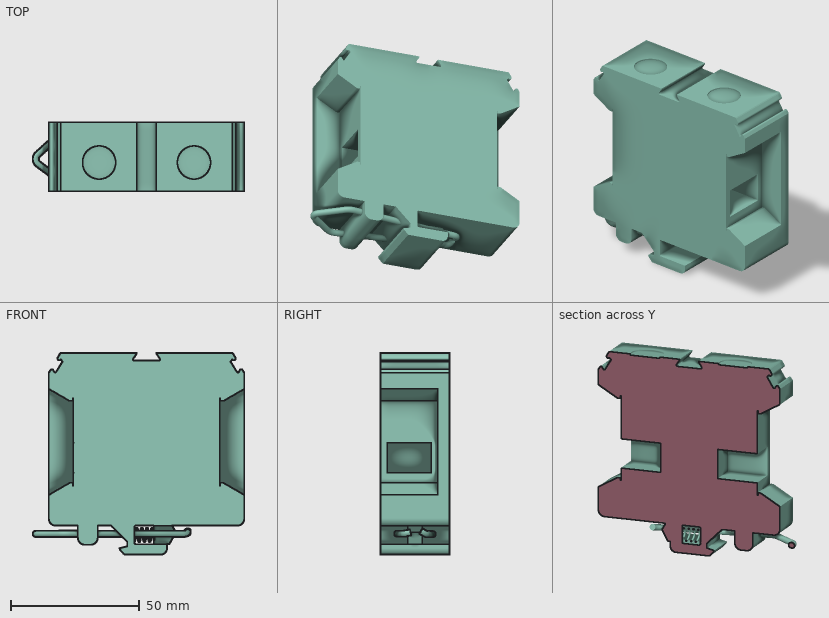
import cadquery as cq
import math


length = 76.3
thickness = 27.0
height = 67.35
half_length = length / 2
bottom_corner_radius = 2.7

seat_drop = 7.8
seat_inset = 4.7
cutter_margin = 4.1

dovetail_mouth = 7.8
dovetail_base = 10.4
dovetail_depth = 3.0
dovetail_lip = 0.6
dovetail_base_bevel = 0.25
dovetail_mouth_land = 0.4

terminal_y = -2.2
screw_diameter = 13.0
screw_spacing = 37.0
screw_recess_depth = 0.5
recess_bottom = 12.0
recess_top = 53.3
recess_depth = 9.6
recess_wall = 4.7
recess_slope = 30.0
crest_rise = 4.7
crest_radius = 1.2
slit_width = 0.25
slit_height = 1.1
pocket_width = 17.25
pocket_height = 11.6
pocket_bottom = 20.6
pocket_depth = 16.5

post_left = -26.8
post_width = 7.85
post_height = 7.5
post_radius = 2.9

foot_height = 11.3
foot_right = 8.0
foot_top = -7.2
foot_radius = 2.5
stem_left = -7.6
stem_right = -4.7
stem_slope = 6.2
stem_corner = 0.6
toe_left = -10.6
toe_ledge = -8.0
toe_tip = -8.75
toe_nose_width = 0.25
toe_nose_height = 0.75
toe_bevel_width = 1.7

latch_left = 2.8
latch_top_right = 10.0
latch_bottom_right = 8.9
latch_nose_x = 11.5
latch_nose_z = -2.6
latch_width = 5.8
latch_radius = 2.15
spring_wire = 0.7
spring_radius = 2.5
spring_pitch = 2.02
spring_z = -3.55
spring_embed = 0.2

wire_diameter = 2.5
wire_z = -3.2
wire_tilt = -0.7
shoulder_y = 10.5
hook_y = 4.1
apex_x = -44.6
apex_y = -1.1
shoulder_x = -31.95
apex_bend = 2.5
shoulder_bend = 4.95
hook_start = 13.5
hook_bend = 2.5
near_hook_rise = 15.0
far_hook_rise = 33.0
shortest_straight = 0.01


def extrude_y(sketch, width, middle_y=0.0):
    """Extrude an XZ sketch to the given width, centred on middle_y."""
    return sketch.extrude(width / 2, both=True).translate((0, middle_y, 0))


def clip_corner(side):
    """Cutter that shapes the upper corner of one end (side -1 or +1) into a snap-in marker seat.

    Its points are given as the inset from the end face and the drop from the top face.
    """
    def at(inset, drop):
        return (side * (half_length - inset), height - drop)

    return extrude_y(
        cq.Workplane("XZ")
        .moveTo(*at(0, seat_drop))
        .lineTo(*at(0.75, 6.6))
        .threePointArc(at(1.3, 6.35), at(1.8, 6.8))
        .lineTo(*at(2.2, 7.4))
        .threePointArc(at(2.6, 7.6), at(2.9, 7.35))
        .lineTo(*at(5.4, 3.4))
        .lineTo(*at(4.7, 2.65))
        .lineTo(*at(4.2, 3.0))
        .threePointArc(at(3.55, 2.65), at(3.5, 1.8))
        .lineTo(*at(4.4, 0.3))
        .lineTo(*at(seat_inset, 0))
        .lineTo(*at(seat_inset, -cutter_margin))
        .lineTo(*at(-cutter_margin, -cutter_margin))
        .lineTo(*at(-cutter_margin, seat_drop))
        .close(),
        thickness,
    )


def dovetail_groove():
    base_z = height - dovetail_depth
    half_mouth = dovetail_mouth / 2
    half_base = dovetail_base / 2
    right_side = [
        (half_base - dovetail_base_bevel, base_z),
        (half_base, base_z + dovetail_base_bevel),
        (half_base, base_z + dovetail_lip),
        (half_mouth, height - dovetail_mouth_land),
        (half_mouth, height),
    ]
    left_side = [(-x, z) for x, z in reversed(right_side)]
    return extrude_y(cq.Workplane("XZ").polyline(left_side + right_side).close(), thickness)


def terminal_recess():
    """Wire-entry recess of the -X end, open towards -Y, with its inner pocket."""
    face_x = -half_length
    floor_x = face_x + recess_depth
    crest_x = face_x + crest_rise / math.tan(math.radians(recess_slope))
    low_crest = recess_bottom + crest_rise
    high_crest = recess_top - crest_rise
    width = thickness - recess_wall
    middle_y = -recess_wall / 2
    mouth = extrude_y(
        cq.Workplane("XZ").polyline([
            (face_x, recess_bottom),
            (crest_x, low_crest),
            (floor_x, low_crest),
            (floor_x, high_crest),
            (crest_x, high_crest),
            (face_x, recess_top),
        ]).close(),
        width, middle_y,
    )
    crests = cq.selectors.BoxSelector(
        (crest_x - slit_width, -thickness, low_crest - slit_width),
        (crest_x + slit_width, thickness, high_crest + slit_width),
    )
    mouth = mouth.edges("|Y").edges(crests).fillet(crest_radius)
    slit = cq.Workplane("XY").box(
        slit_width, width, high_crest - low_crest + 2 * slit_height,
    ).translate((floor_x - slit_width / 2, middle_y, (low_crest + high_crest) / 2))
    pocket = cq.Workplane("XY").box(
        pocket_depth, pocket_width, pocket_height, centered=(False, True, False),
    ).translate((floor_x, terminal_y, pocket_bottom))
    return mouth.union(slit).union(pocket)


def housing():
    body = cq.Workplane("XY").box(length, thickness, height, centered=(True, True, False))
    body = body.edges("|Y and <Z").fillet(bottom_corner_radius)
    recess = terminal_recess()
    body = body.cut(dovetail_groove()).cut(recess).cut(recess.mirror("YZ"))
    for side in (-1, 1):
        body = body.cut(clip_corner(side))
        screw = cq.Workplane("XY").circle(screw_diameter / 2).extrude(screw_recess_depth)
        body = body.cut(screw.translate(
            (side * screw_spacing / 2, terminal_y, height - screw_recess_depth)))
    return body


def locating_post():
    post = cq.Workplane("XY").box(
        post_width, thickness, post_height, centered=(False, True, False),
    ).translate((post_left, 0, -post_height))
    return post.edges("|Y and <Z").fillet(post_radius)


def rail_foot():
    return extrude_y(
        cq.Workplane("XZ")
        .moveTo(stem_left - stem_slope, 0)
        .lineTo(stem_left, -stem_slope)
        .lineTo(stem_left, toe_ledge)
        .lineTo(toe_left, toe_tip)
        .lineTo(toe_left + toe_nose_width, toe_tip - toe_nose_height)
        .lineTo(toe_left + toe_nose_width + toe_bevel_width, -foot_height)
        .lineTo(foot_right - foot_radius, -foot_height)
        .radiusArc((foot_right, -foot_height + foot_radius), -foot_radius)
        .lineTo(foot_right, foot_top)
        .lineTo(stem_right + stem_corner, foot_top)
        .radiusArc((stem_right, foot_top + stem_corner), stem_corner)
        .lineTo(stem_right, -stem_corner)
        .radiusArc((stem_right + stem_corner, 0), stem_corner)
        .close(),
        thickness,
    )


def latch():
    block = extrude_y(
        cq.Workplane("XZ").polyline([
            (latch_left, 0),
            (latch_top_right, 0),
            (latch_nose_x, latch_nose_z),
            (latch_bottom_right, foot_top),
            (latch_left, foot_top),
        ]).close(),
        latch_width,
    )
    return block.edges("|Z").fillet(latch_radius)


def spring():
    """Coil along X from the stem to the latch, both ends sunk in slightly."""
    coil_length = latch_left - stem_right + 2 * spring_embed
    helix = cq.Wire.makeHelix(spring_pitch, coil_length, spring_radius)
    coil = (
        cq.Workplane("XZ", origin=(spring_radius, 0, 0))
        .circle(spring_wire / 2)
        .sweep(cq.Workplane(obj=helix), isFrenet=True)
    )
    coil = coil.rotate((0, 0, 0), (0, 1, 0), 90)
    return coil.translate((stem_right - spring_embed, 0, spring_z))


def bend_points(before, corner, after, radius):
    """Start, middle and end of the arc that rounds a corner of the wire's centre line."""
    start_dir = (cq.Vector(*before) - cq.Vector(*corner)).normalized()
    end_dir = (cq.Vector(*after) - cq.Vector(*corner)).normalized()
    half_angle = start_dir.getAngle(end_dir) / 2
    tangent = radius / math.tan(half_angle)
    middle = radius / math.sin(half_angle) - radius
    vertex = cq.Vector(*corner)
    bisector = (start_dir + end_dir).normalized()
    return vertex + start_dir * tangent, vertex + bisector * middle, vertex + end_dir * tangent


def release_wire():
    """V-shaped wire with two straight legs, each ending in an inward, rising hook."""
    def hook_corner(side):
        return (hook_start + hook_bend, side * hook_y, 0)

    def hook_tip(side, rise_angle):
        rise = math.radians(rise_angle)
        x, y, z = hook_corner(side)
        return (x, y - side * hook_bend * math.cos(rise), z + hook_bend * math.sin(rise))

    near_tip = hook_tip(-1, near_hook_rise)
    far_tip = hook_tip(1, far_hook_rise)
    corners = [
        (near_tip, 0),
        (hook_corner(-1), hook_bend),
        ((shoulder_x, -shoulder_y, 0), shoulder_bend),
        ((apex_x, apex_y, 0), apex_bend),
        ((shoulder_x, shoulder_y, 0), shoulder_bend),
        (hook_corner(1), hook_bend),
        (far_tip, 0),
    ]
    edges = []
    previous = cq.Vector(*near_tip)
    for i in range(1, len(corners) - 1):
        corner, radius = corners[i]
        start, middle, end = bend_points(corners[i - 1][0], corner, corners[i + 1][0], radius)
        if (start - previous).Length > shortest_straight:
            edges.append(cq.Edge.makeLine(previous, start))
        edges.append(cq.Edge.makeThreePointArc(start, middle, end))
        previous = end
    path = cq.Wire.assembleEdges(edges)
    tip_plane = cq.Plane(origin=path.startPoint(), normal=path.tangentAt(0))
    wire = cq.Workplane(tip_plane).circle(wire_diameter / 2).sweep(cq.Workplane(obj=path))
    return wire.rotate((0, 0, 0), (1, 0, 0), wire_tilt).translate((0, 0, wire_z))


result = housing()
for component in (locating_post(), rail_foot(), latch(), spring(), release_wire()):
    result = result.union(component)